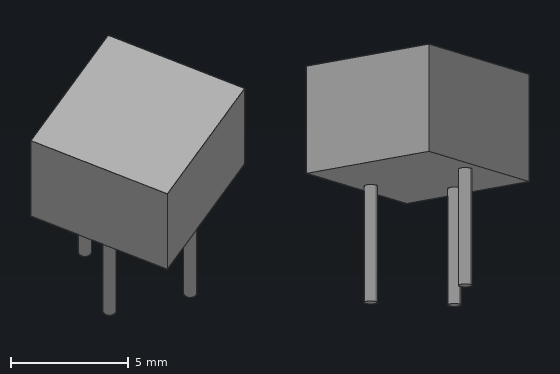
import cadquery as cq

housing_width = 6.6
housing_depth = 6.99
overall_height = 9.8
pin_length = 5.1
housing_height = overall_height - pin_length

pin_diameter = 0.58
pin_pitch = 2.54
outer_pin_y = -0.02
middle_pin_y = outer_pin_y - pin_pitch
pin_positions = [(-pin_pitch, outer_pin_y), (0, middle_pin_y), (pin_pitch, outer_pin_y)]


def make_housing():
    """Block standing on the plane Z = 0."""
    return cq.Workplane("XY").box(
        housing_width, housing_depth, housing_height, centered=(True, True, False)
    )


def make_pin(x, y):
    """Straight round pin hanging from the underside of the housing."""
    return cq.Workplane("XY").center(x, y).circle(pin_diameter / 2).extrude(-pin_length)


housing = make_housing()
pins = [make_pin(x, y) for x, y in pin_positions]

result = cq.Compound.makeCompound([housing.val(), *[pin.val() for pin in pins]])